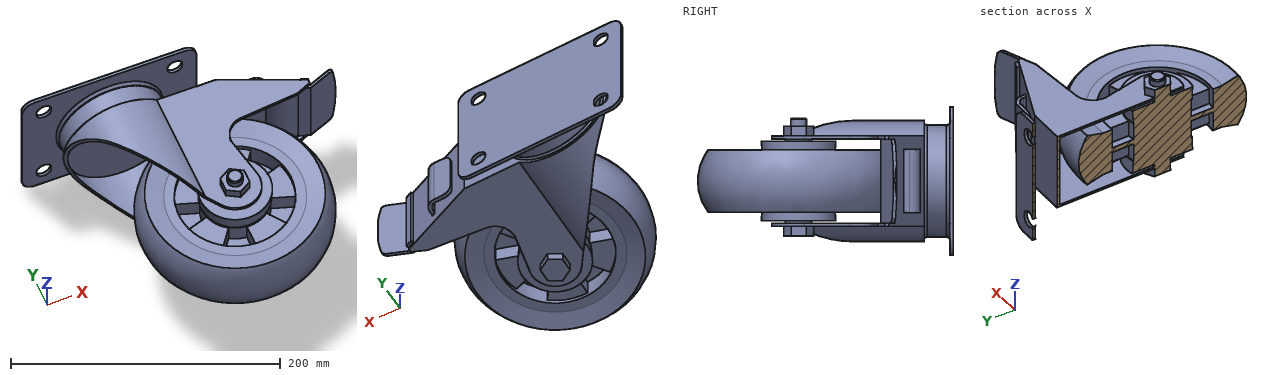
import cadquery as cq
import math


overall_length = 234.5

plate_length = 140.0
plate_width = 110.0
plate_thickness = 2.5
plate_corner_radius = 10.0
hole_spacing_x = 105.3
hole_spacing_z = 77.2
hole_width = 12.0
hole_height = 13.5

housing_radius = 83.2 / 2
housing_groove_radius = 40.8
housing_flange_radius = 43.0
housing_collar_radius = 42.5
housing_groove_end = -5.5
housing_collar_start = -19.5
fork_top = -21.5

axle_x = 54.2
axle_y = -115.0
wheel_radius = 75.0
wheel_shoulder_radius = 67.0
wheel_half_width = 23.2
rim_outer_radius = 53.0
rim_inner_radius = 90.0 / 2
rim_half_width = 19.7

spoke_count = 5
spoke_half_width = 16.2
spoke_margin = 1.5
web_half_width = 2.3
hub_end_radius = 55.5 / 2
hub_root_radius = 27.2
hub_core_radius = 26.5
hub_half_width = 29.5
hub_root_height = 17.8

axle_radius = 12.0 / 2
axle_end = 46.7
axle_chamfer = 1.0
spacer_radius = 20.0 / 2
nut_across_flats = 19.2
nut_height = 7.3

fork_half_width = 33.5
fork_thickness = 2.3
fork_inner_half_width = fork_half_width - fork_thickness
barrel_radius = 90.0 / 2
barrel_wall = 2.5
fork_end_radius = 20.0
front_edge_height = 0.7
front_cut_start = (-barrel_radius, fork_top - front_edge_height)
front_cut_middle = (-28.5, -36.0)
front_cut_end = (-14.3, -53.5)
notch_start = (67.0, -77.5)
notch_middle = (70.8, -66.1)
notch_end = (81.0, -60.5)
arm_underside = (129.0, -56.0)
arm_tip_lower = (141.0, -51.0)
arm_tip_upper = (141.0, -48.0)
arm_shoulder = (77.6, fork_top)

lip_length = 5.9
lip_height = 2.3

lever_thickness = 2.8
curl_start_x = 91.5
curl_top = -24.6
curl_radius = 8.2
curl_half_width = 23.5
curl_corner_radius = 7.0
cam_radius = 13.5
cam_center = (124.5, -39.5)
cam_end_angle = 300
pedal_root = (140.5, -54.0)
pedal_tip = (164.9, -44.3)
pedal_thickness = 2.3
pedal_end_x = overall_length - plate_length / 2
pedal_corner_x = 161.0
pedal_corner_radius = 4.7


def polar(center, radius, angle):
    """Point on a circle, with the angle in degrees."""
    turn = math.radians(angle)
    return center[0] + radius * math.cos(turn), center[1] + radius * math.sin(turn)


def tangent_point(point, center, radius, side):
    """Point where a line from an outside point touches a circle, on side +1 or -1."""
    dx = point[0] - center[0]
    dy = point[1] - center[1]
    opening = math.degrees(math.acos(radius / math.hypot(dx, dy)))
    return polar(center, radius, math.degrees(math.atan2(dy, dx)) + side * opening)


def slab(sketch, half_width):
    """Extrude an XY outline equally to both sides of Z = 0."""
    return sketch.extrude(half_width, both=True)


def bar(start, end, thickness, half_width):
    """Flat strip from start to end, with its thickness on the left of that direction."""
    length = math.hypot(end[0] - start[0], end[1] - start[1])
    angle = math.degrees(math.atan2(end[1] - start[1], end[0] - start[0]))
    strip = slab(cq.Workplane("XY").rect(length, thickness, centered=False), half_width)
    return strip.rotate((0, 0, 0), (0, 0, 1), angle).translate((start[0], start[1], 0))


def revolve_about_z(profile):
    """Revolve a closed (radius, Z) profile and move it to the axle."""
    return profile.close().revolve(360, (0, 0, 0), (0, 1, 0)).translate((axle_x, axle_y, 0))


def make_plate():
    plate = (
        cq.Workplane("XZ")
        .rect(plate_length, plate_width)
        .extrude(plate_thickness)
        .edges("|Y")
        .fillet(plate_corner_radius)
    )
    holes = (
        cq.Workplane("XZ")
        .rect(hole_spacing_x, hole_spacing_z, forConstruction=True)
        .vertices()
        .slot2D(hole_height, hole_width, 90)
        .extrude(plate_thickness)
    )
    return plate.cut(holes)


def make_housing():
    outline = [
        (0, 0),
        (housing_flange_radius, 0),
        (housing_flange_radius, -plate_thickness),
        (housing_groove_radius, housing_groove_end),
        (housing_radius, housing_groove_end),
        (housing_radius, housing_collar_start),
        (housing_collar_radius, fork_top),
        (0, fork_top),
    ]
    return cq.Workplane("XY").polyline(outline).close().revolve(360, (0, 0, 0), (0, 1, 0))


def plan_solid(radius, half_width, depth, reach):
    """Disc joined to a straight strip running towards +X, filled from Y = 0 down."""
    disc = cq.Workplane("XZ").circle(radius).extrude(depth)
    strip = cq.Workplane("XZ").center(reach / 2, 0).rect(reach, 2 * half_width).extrude(depth)
    return disc.union(strip)


def make_fork():
    axle = (axle_x, axle_y)
    front_tangent = tangent_point(front_cut_end, axle, fork_end_radius, 1)
    rear_tangent = tangent_point(notch_start, axle, fork_end_radius, -1)
    side_outline = (
        cq.Workplane("XY")
        .moveTo(-barrel_radius, fork_top)
        .lineTo(*front_cut_start)
        .threePointArc(front_cut_middle, front_cut_end)
        .lineTo(*front_tangent)
        .threePointArc((axle_x, axle_y - fork_end_radius), rear_tangent)
        .lineTo(*notch_start)
        .threePointArc(notch_middle, notch_end)
        .lineTo(*arm_underside)
        .lineTo(*arm_tip_lower)
        .lineTo(*arm_tip_upper)
        .lineTo(*arm_shoulder)
        .close()
    )
    side_shape = slab(side_outline, barrel_radius)

    depth = wheel_radius - axle_y
    reach = overall_length
    outside = plan_solid(barrel_radius, fork_half_width, depth, reach)
    inside = plan_solid(barrel_radius - barrel_wall, fork_inner_half_width, depth, reach)
    fork = outside.cut(inside).intersect(side_shape)

    top_cover = (
        plan_solid(barrel_radius, fork_half_width, fork_thickness, arm_shoulder[0])
        .translate((0, fork_top, 0))
        .intersect(side_shape)
    )
    web = bar(arm_tip_upper, arm_shoulder, fork_thickness, fork_half_width)
    web_rise = arm_shoulder[1] - arm_tip_upper[1]
    web_run = arm_shoulder[0] - arm_tip_upper[0]
    slope = math.degrees(math.atan2(web_rise, web_run))
    lip_end = polar(arm_tip_upper, lip_length, slope)
    lip = bar(lip_end, arm_tip_upper, lip_height, fork_inner_half_width)
    return fork.union(top_cover).union(web).union(lip)


def make_wheel():
    tyre = revolve_about_z(
        cq.Workplane("XZ")
        .moveTo(rim_inner_radius, -rim_half_width)
        .lineTo(rim_outer_radius, -rim_half_width)
        .lineTo(wheel_shoulder_radius, -wheel_half_width)
        .threePointArc((wheel_radius, 0), (wheel_shoulder_radius, wheel_half_width))
        .lineTo(rim_outer_radius, rim_half_width)
        .lineTo(rim_inner_radius, rim_half_width)
    )
    hub_outline = [
        (0, -hub_half_width),
        (hub_end_radius, -hub_half_width),
        (hub_root_radius, -hub_root_height),
        (hub_core_radius, -hub_root_height),
        (hub_core_radius, hub_root_height),
        (hub_root_radius, hub_root_height),
        (hub_end_radius, hub_half_width),
        (0, hub_half_width),
    ]
    hub = revolve_about_z(cq.Workplane("XZ").polyline(hub_outline))
    return make_spokes().union(tyre).union(hub)


def make_spokes():
    """Disc with wedge pockets on both sides, leaving spokes and a central web."""
    disc = slab(cq.Workplane("XY").circle(rim_inner_radius), spoke_half_width)
    half_angle = math.radians(180 / spoke_count / 2)
    apex = spoke_margin / math.sin(half_angle)
    far_half_width = (wheel_radius - apex) * math.tan(half_angle)
    wedge_outline = [(apex, 0), (wheel_radius, -far_half_width), (wheel_radius, far_half_width)]
    wedge = slab(cq.Workplane("XY").polyline(wedge_outline).close(), spoke_half_width)
    web = slab(cq.Workplane("XY").circle(rim_inner_radius), web_half_width)
    pitch = 360 / spoke_count
    for index in range(spoke_count):
        disc = disc.cut(wedge.rotate((0, 0, 0), (0, 0, 1), (index + 0.5) * pitch))
    return disc.union(web).translate((axle_x, axle_y, 0))


def make_axle():
    nut_top = fork_half_width + nut_height
    at_axle = cq.Workplane("XY").center(axle_x, axle_y)
    spacer = slab(at_axle.circle(spacer_radius), fork_inner_half_width)
    hexagons = slab(at_axle.polygon(6, nut_across_flats, circumscribed=True), nut_top)
    inner_block = slab(at_axle.circle(nut_across_flats), fork_inner_half_width)
    bolt = at_axle.circle(axle_radius).extrude(axle_end).faces(">Z").chamfer(axle_chamfer)
    return spacer.union(hexagons.cut(inner_block)).union(bolt)


def make_lever():
    bend_center = (cam_center[0] - cam_radius + lever_thickness - curl_radius, curl_top - curl_radius)
    inner_bend = curl_radius - lever_thickness
    inner_cam = cam_radius - lever_thickness
    cam_start = polar(cam_center, cam_radius, 180)
    inner_cam_start = polar(cam_center, inner_cam, 180)
    curl = slab(
        cq.Workplane("XY")
        .moveTo(curl_start_x, curl_top)
        .lineTo(bend_center[0], curl_top)
        .threePointArc(polar(bend_center, curl_radius, 45), polar(bend_center, curl_radius, 0))
        .lineTo(*inner_cam_start)
        .lineTo(*cam_start)
        .lineTo(*polar(bend_center, inner_bend, 0))
        .threePointArc(polar(bend_center, inner_bend, 45), polar(bend_center, inner_bend, 90))
        .lineTo(curl_start_x, curl_top - lever_thickness)
        .close(),
        curl_half_width,
    )
    curl = curl.faces("<X").edges("|Y").fillet(curl_corner_radius)

    cam_middle_angle = (180 + cam_end_angle) / 2
    cam_end = polar(cam_center, cam_radius, cam_end_angle)
    cam = slab(
        cq.Workplane("XY")
        .moveTo(*inner_cam_start)
        .threePointArc(
            polar(cam_center, inner_cam, cam_middle_angle),
            polar(cam_center, inner_cam, cam_end_angle),
        )
        .lineTo(*cam_end)
        .threePointArc(polar(cam_center, cam_radius, cam_middle_angle), cam_start)
        .close(),
        fork_inner_half_width,
    )
    link = bar(cam_end, pedal_root, lever_thickness, fork_inner_half_width)

    pedal_plan = (
        cq.Workplane("XZ")
        .moveTo(arm_underside[0], -fork_inner_half_width)
        .lineTo(pedal_corner_x, -fork_inner_half_width)
        .threePointArc((pedal_end_x, 0), (pedal_corner_x, fork_inner_half_width))
        .lineTo(arm_underside[0], fork_inner_half_width)
        .close()
        .extrude(wheel_radius)
        .edges("|Y")
        .edges(">X")
        .fillet(pedal_corner_radius)
    )
    pedal = bar(pedal_root, pedal_tip, pedal_thickness, fork_inner_half_width).intersect(pedal_plan)
    return curl.union(cam).union(link).union(pedal)


result = (
    make_plate()
    .union(make_housing())
    .union(make_fork())
    .union(make_wheel())
    .union(make_axle())
    .union(make_lever())
)